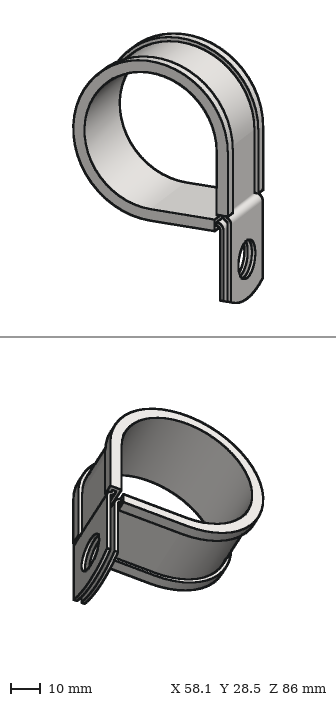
import cadquery as cq
import math

outer_radius = 28.8
cushion_thickness = 4.2
cushion_width = 28.5
flange_width = 3.95
groove_depth = 1.5
upright_leg_end_z = -22.8
lower_leg_end_x = 23.9

strap_thickness = 1.3
strap_width = 25.5
tab_outer_x = 29.3
tab_gap = 1.55
tab_end_z = -57.2
tab_tip_rise = 3.1
hole_diameter = 13.5
hole_z = -42.9

strap_radius = outer_radius - groove_depth - strap_thickness / 2
outer_tab_x = tab_outer_x - strap_thickness / 2
inner_tab_x = outer_tab_x - strap_thickness - tab_gap
bend_radius = inner_tab_x - lower_leg_end_x


def loop_band(radius, thickness, width):
    """Three-quarter loop with two straight legs, centred on the given radius."""
    path = (
        cq.Workplane("XZ")
        .moveTo(radius, upright_leg_end_z)
        .lineTo(radius, 0)
        .threePointArc((-radius * math.sqrt(0.5), radius * math.sqrt(0.5)), (0, -radius))
        .lineTo(lower_leg_end_x, -radius)
    )
    section = cq.Workplane("XY", origin=(radius, 0, upright_leg_end_z)).rect(thickness, width)
    return section.sweep(path)


def make_cushion():
    cushion = loop_band(outer_radius - cushion_thickness / 2, cushion_thickness, cushion_width)
    groove_width = cushion_width - 2 * flange_width
    groove = loop_band(outer_radius - groove_depth / 2, groove_depth, groove_width)
    return cushion.cut(groove)


def tab_section(x):
    return cq.Workplane("XY", origin=(x, 0, tab_end_z)).rect(strap_thickness, strap_width)


def make_inner_tab():
    """Tab that turns down from the lower leg through a right-angle bend."""
    bend_z = -strap_radius - bend_radius
    bend_reach = bend_radius * math.sqrt(0.5)
    path = (
        cq.Workplane("XZ")
        .moveTo(inner_tab_x, tab_end_z)
        .lineTo(inner_tab_x, bend_z)
        .threePointArc(
            (lower_leg_end_x + bend_reach, bend_z + bend_reach),
            (lower_leg_end_x, -strap_radius),
        )
        .lineTo(lower_leg_end_x - strap_thickness, -strap_radius)
    )
    return tab_section(inner_tab_x).sweep(path)


def make_outer_tab():
    """Tab that steps outward from the upright leg through two opposite arcs."""
    arc_run = (outer_tab_x - strap_radius) / 2
    joggle_angle = math.acos(1 - arc_run / bend_radius)
    arc_drop = bend_radius * math.sin(joggle_angle)
    joggle_end_z = upright_leg_end_z - 2 * arc_drop
    half_run = bend_radius * (1 - math.cos(joggle_angle / 2))
    half_drop = bend_radius * math.sin(joggle_angle / 2)
    path = (
        cq.Workplane("XZ")
        .moveTo(outer_tab_x, tab_end_z)
        .lineTo(outer_tab_x, joggle_end_z)
        .threePointArc(
            (outer_tab_x - half_run, joggle_end_z + half_drop),
            (outer_tab_x - arc_run, joggle_end_z + arc_drop),
        )
        .threePointArc(
            (strap_radius + half_run, upright_leg_end_z - half_drop),
            (strap_radius, upright_leg_end_z),
        )
        .lineTo(strap_radius, upright_leg_end_z + strap_thickness)
    )
    return tab_section(outer_tab_x).sweep(path)


def make_tab_outline():
    """Envelope of the tabs seen along X: straight sides and an arched lower end."""
    half_width = strap_width / 2
    shoulder_z = tab_end_z + tab_tip_rise
    return (
        cq.Workplane("YZ")
        .moveTo(-half_width, 0)
        .lineTo(-half_width, shoulder_z)
        .threePointArc((0, tab_end_z), (half_width, shoulder_z))
        .lineTo(half_width, 0)
        .close()
        .extrude(2 * outer_radius)
    )


def make_bolt_hole():
    return (
        cq.Workplane("YZ", origin=(0, 0, hole_z))
        .circle(hole_diameter / 2)
        .extrude(2 * outer_radius)
    )


tabs = make_inner_tab().union(make_outer_tab())
tabs = tabs.intersect(make_tab_outline()).cut(make_bolt_hole())
result = make_cushion().union(tabs)